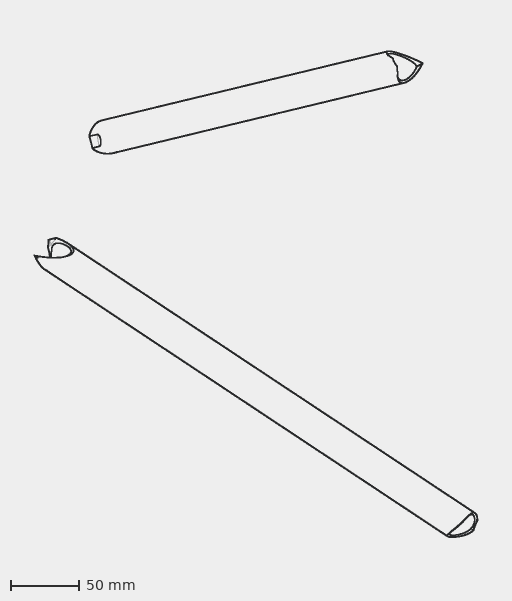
import cadquery as cq
import math

TUBE_DIAMETER = 25.4
WALL = 1.99
AXIS_LENGTH = 403.1
AZIMUTH = 14.8
ELEVATION = 26.13

BRACE_TILT = 50.8
BRACE_ROLL = -110.6
POST_TILT = 99.0
POST_ROLL = -86.7
MAIN_TILT = 105.5
MAIN_ROLL = 113.9
MAIN_DIAMETER = 44.3
MAIN_OFFSET = -3.4
NOTCH_TILT = 77.7
NOTCH_ROLL = 91.0
NOTCH_STATION = 25.0
NOTCH_OFFSET = 24.6
NOTCH_RUNOUT = 60.0

CUTTER_LENGTH = 160.0


def tube_frame():
    """Plane square to the tube axis, with its X direction level."""
    azimuth = math.radians(AZIMUTH)
    elevation = math.radians(ELEVATION)
    axis = (
        math.cos(elevation) * math.cos(azimuth),
        math.cos(elevation) * math.sin(azimuth),
        math.sin(elevation),
    )
    level_side = (-math.sin(azimuth), math.cos(azimuth), 0)
    return cq.Plane(origin=(0, 0, 0), xDir=level_side, normal=axis)


FRAME = tube_frame()


def straight_tube():
    """Plain tube between the lower station and the upper node."""
    outer_radius = TUBE_DIAMETER / 2
    ring = cq.Workplane(FRAME).circle(outer_radius).circle(outer_radius - WALL)
    return ring.extrude(AXIS_LENGTH)


def crossing_directions(tilt, roll):
    """Axis of a crossing tube, and the common perpendicular of the two axes."""
    tilt = math.radians(tilt)
    roll = math.radians(roll)
    lean = FRAME.xDir * math.cos(roll) + FRAME.yDir * math.sin(roll)
    side = FRAME.yDir * math.cos(roll) - FRAME.xDir * math.sin(roll)
    direction = FRAME.zDir * math.cos(tilt) + lean * math.sin(tilt)
    return direction, side


def crossing_tube(station, tilt, roll, diameter=TUBE_DIAMETER, offset=0.0):
    """Solid envelope of a tube that crosses the axis at a station along it."""
    direction, side = crossing_directions(tilt, roll)
    centre = FRAME.zDir * station + side * offset
    start = centre - direction * (CUTTER_LENGTH / 2)
    return cq.Workplane(cq.Solid.makeCylinder(diameter / 2, CUTTER_LENGTH, start, direction))


def notch_cutter():
    """Round-ended bar whose upper end grazes the tube wall and which runs out below the tube."""
    direction, side = crossing_directions(NOTCH_TILT, NOTCH_ROLL)
    upwards = direction.cross(side)
    round_end = FRAME.zDir * NOTCH_STATION + side * NOTCH_OFFSET
    middle = round_end - upwards * (NOTCH_RUNOUT / 2)
    plane = cq.Plane(origin=middle, xDir=upwards, normal=direction)
    bar = cq.Workplane(plane).slot2D(NOTCH_RUNOUT + TUBE_DIAMETER, TUBE_DIAMETER)
    return bar.extrude(CUTTER_LENGTH / 2, both=True)


def cope_upper_end(tube):
    """Saddles for the two equal tubes that meet at the upper node."""
    tube = tube.cut(crossing_tube(AXIS_LENGTH, BRACE_TILT, BRACE_ROLL))
    return tube.cut(crossing_tube(AXIS_LENGTH, POST_TILT, POST_ROLL))


def cope_lower_end(tube):
    """Wide saddle for the main tube, and the open notch in the -Y wall."""
    tube = tube.cut(crossing_tube(0, MAIN_TILT, MAIN_ROLL, MAIN_DIAMETER, MAIN_OFFSET))
    return tube.cut(notch_cutter())


result = cope_lower_end(cope_upper_end(straight_tube()))